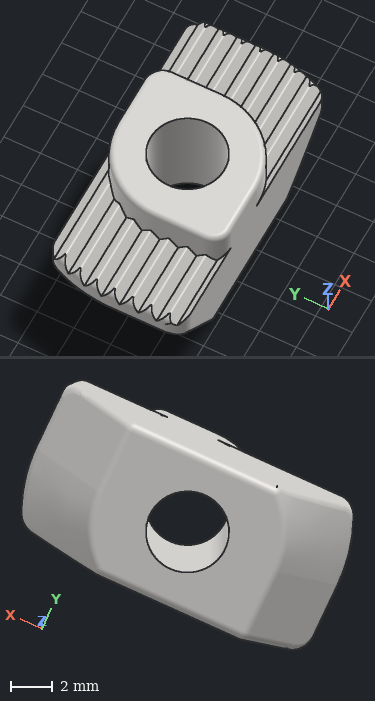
import cadquery as cq
import math

length = 16.0
width = 7.7
height = 6.0
half_length = length / 2
half_width = width / 2

tooth_top = 4.5
slope_top = 3.3
corner_radius = 1.0
edge_radius = 0.5
bottom_half_length = half_length - slope_top

groove_count = 8
groove_span = 8.0
ridge_radius = 0.1
groove_pitch = groove_span / groove_count
groove_depth = groove_pitch / 2
crest_loss = ridge_radius * (math.sqrt(2) - 1)
valley_height = tooth_top + crest_loss - groove_depth

boss_large_radius = 4.0
boss_edge_radius = 0.3
hole_diameter = 4.0

tolerance = 0.002


def make_envelope():
    """Block with end slopes: each end is flat on one side of the X axis and conical on the other."""
    profile = [
        (0, 0),
        (bottom_half_length, 0),
        (half_length, slope_top),
        (half_length, tooth_top),
        (0, tooth_top),
    ]
    flat_part = cq.Workplane("XZ").polyline(profile).close().extrude(-half_width)
    round_part = cq.Workplane("XZ").polyline(profile).close().revolve(90, (0, 0), (0, -1))
    half = flat_part.union(round_part)
    ends = half.union(half.rotate((0, 0, 0), (0, 0, 1), 180))
    block = cq.Workplane("XY").box(length, width, tooth_top, centered=(True, True, False))
    return block.intersect(ends).clean()


def make_block():
    """Envelope with rounded upright corners and rounded lower edges."""
    block = make_envelope()
    on_side = [e for e in block.edges("|Z").vals() if abs(e.Center().y) > half_width - tolerance]
    block = block.newObject(on_side).fillet(corner_radius)
    lower = [
        e for e in block.edges().vals()
        if e.Center().z < slope_top + tolerance and abs(e.Center().y) > tolerance
    ]
    return block.newObject(lower).fillet(edge_radius)


def make_end_rounding():
    """Envelope with square corners and only the upper edges of both ends rounded."""
    envelope = make_envelope()
    end_edges = [
        e for e in envelope.faces(">Z").edges().vals()
        if abs(e.Center().y) < half_width - tolerance
    ]
    return envelope.newObject(end_edges).fillet(edge_radius)


def make_ridges():
    """Bar along X with a zigzag top and rounded crests; the two outermost crests stand on the body sides."""
    half_count = groove_count // 2
    side_height = valley_height + half_width - (half_count - 0.5) * groove_pitch
    bar = (
        cq.Workplane("YZ", origin=(-half_length, 0, 0))
        .moveTo(-half_width - side_height, 0)
        .lineTo(-half_width, side_height)
    )
    for i in range(groove_count):
        valley_y = (i + 0.5 - half_count) * groove_pitch
        bar = bar.lineTo(valley_y, valley_height)
        if i < groove_count - 1:
            bar = bar.lineTo(valley_y + groove_pitch / 2, valley_height + groove_depth)
    bar = bar.lineTo(half_width, side_height).lineTo(half_width + side_height, 0).close().extrude(length)

    crests = [e for e in bar.edges("|X").vals() if e.Center().z > valley_height + tolerance]
    return bar.newObject(crests).fillet(ridge_radius)


def make_boss():
    """Lemon-shaped boss: two opposite corners of a square are large arcs, the other two small ones."""
    large_start = boss_large_radius - half_width
    small_start = half_width - corner_radius
    outline = (
        cq.Workplane("XY")
        .moveTo(-half_width, -small_start)
        .radiusArc((-small_start, -half_width), -corner_radius)
        .lineTo(-large_start, -half_width)
        .radiusArc((half_width, large_start), -boss_large_radius)
        .lineTo(half_width, small_start)
        .radiusArc((small_start, half_width), -corner_radius)
        .lineTo(large_start, half_width)
        .radiusArc((-half_width, -large_start), -boss_large_radius)
        .close()
    )
    boss = outline.extrude(height - slope_top).translate((0, 0, slope_top))
    return boss.faces(">Z").edges().fillet(boss_edge_radius)


hole = cq.Workplane("XY").circle(hole_diameter / 2).extrude(height)
body = make_block().intersect(make_end_rounding()).intersect(make_ridges())
result = body.union(make_boss()).cut(hole)